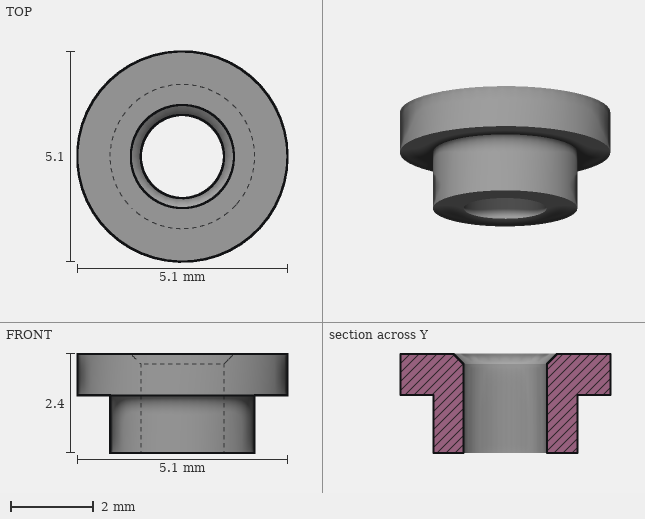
import cadquery as cq

flange_diameter = 5.1
flange_thickness = 1.0
sleeve_diameter = 3.5
total_height = 2.4
bore_diameter = 2.01
countersink_diameter = 2.5

sleeve_length = total_height - flange_thickness
countersink_depth = (countersink_diameter - bore_diameter) / 2


def make_body():
    """Sleeve with the flange on its upper end."""
    sleeve = cq.Workplane("XY").circle(sleeve_diameter / 2).extrude(sleeve_length)
    return sleeve.faces(">Z").workplane().circle(flange_diameter / 2).extrude(flange_thickness)


def cut_bore(body):
    """Through bore, countersunk at the flange face."""
    bored = body.faces(">Z").workplane().hole(bore_diameter)
    bore_rim = bored.faces(">Z").edges(cq.selectors.RadiusNthSelector(0))
    return bore_rim.chamfer(countersink_depth)


result = cut_bore(make_body())